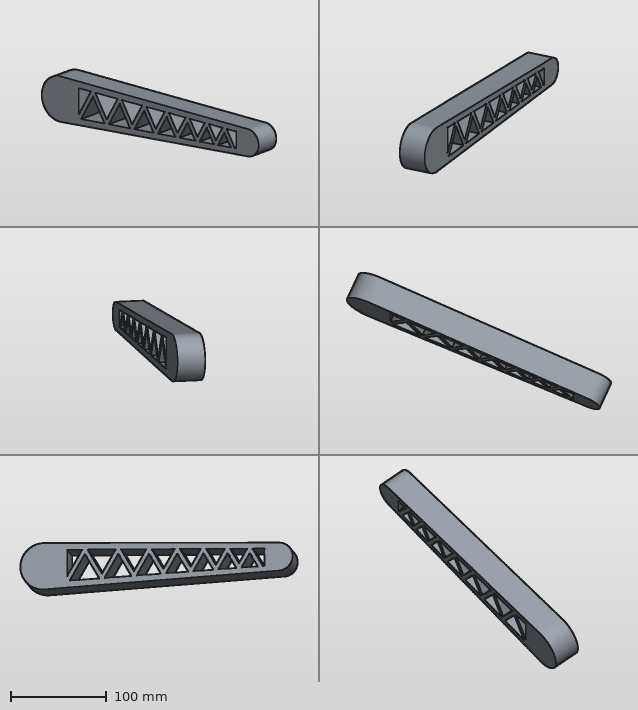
import cadquery as cq
import math

length = 290.0
thickness = 30.0
large_radius = 25.0
small_radius = 15.0
window_start_height = 33.3
window_end_height = 18.5
bar_width = 5.0
bar_angle = math.radians(60)
bar_count = 14

center_distance = length - large_radius - small_radius
taper_sine = (large_radius - small_radius) / center_distance
taper_cosine = math.sqrt(1 - taper_sine**2)
window_start = large_radius
window_end = center_distance - small_radius
edge_slope = (window_start_height - window_end_height) / 2 / (window_end - window_start)


def extrude_profile(sketch):
    """Extrude an XZ sketch symmetrically about the XZ plane."""
    return sketch.extrude(thickness / 2, both=True)


def window_half_height(x):
    """Height of the sloping window edge above the centre line."""
    return window_start_height / 2 - (x - window_start) * edge_slope


def make_body():
    """Two round ends joined by their common tangents."""
    large_x = large_radius * taper_sine
    large_z = large_radius * taper_cosine
    small_x = center_distance + small_radius * taper_sine
    small_z = small_radius * taper_cosine
    return extrude_profile(
        cq.Workplane("XZ")
        .moveTo(large_x, large_z)
        .lineTo(small_x, small_z)
        .threePointArc((center_distance + small_radius, 0), (small_x, -small_z))
        .lineTo(large_x, -large_z)
        .threePointArc((-large_radius, 0), (large_x, large_z))
        .close()
    )


def make_window():
    """Tapered through opening that holds the truss."""
    return extrude_profile(
        cq.Workplane("XZ").polyline([
            (window_start, -window_start_height / 2),
            (window_start, window_start_height / 2),
            (window_end, window_end_height / 2),
            (window_end, -window_end_height / 2),
        ]).close()
    )


def truss_nodes():
    """Zigzag from the lower window corner, alternating between the sloping edges."""
    x = window_start
    side = -1
    nodes = [(x, side * window_half_height(x))]
    for _ in range(bar_count):
        x += 2 * window_half_height(x) / (math.tan(bar_angle) + edge_slope)
        side = -side
        nodes.append((x, side * window_half_height(x)))
    return nodes


def make_bar(start, end):
    """Straight bar between two nodes, run on past both into the rim."""
    run = end[0] - start[0]
    rise = end[1] - start[1]
    bar_length = math.hypot(run, rise) + bar_width
    return extrude_profile(
        cq.Workplane("XZ")
        .center((start[0] + end[0]) / 2, (start[1] + end[1]) / 2)
        .transformed(rotate=(0, 0, math.degrees(math.atan2(rise, run))))
        .rect(bar_length, bar_width)
    )


openings = make_window()
nodes = truss_nodes()
for start, end in zip(nodes, nodes[1:]):
    openings = openings.cut(make_bar(start, end))

result = make_body().cut(openings)